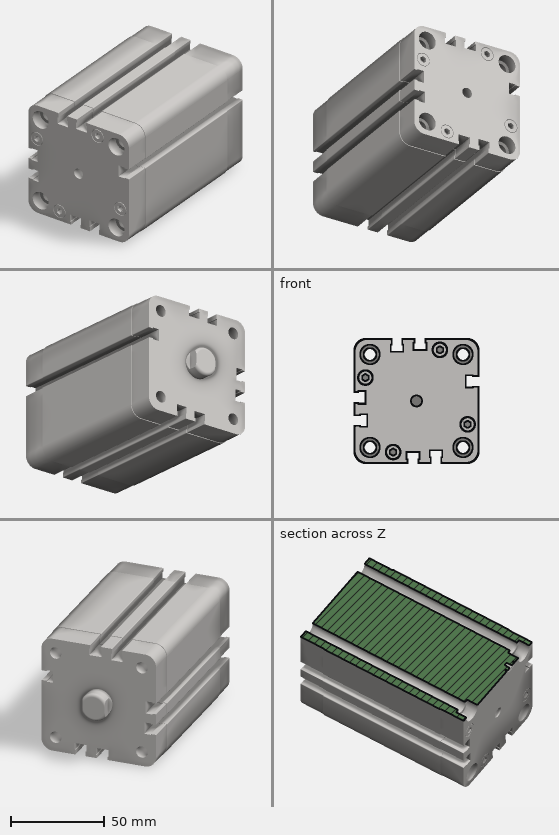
import cadquery as cq
import math

TOTAL_LENGTH = 113.0
BODY_WIDTH = 67.0
CAP_STEP = 0.3
CORNER_RADIUS = 6.7
CAP_LENGTH = 14.8
ROD_LENGTH = 7.6

FRONT_Y = -TOTAL_LENGTH / 2
REAR_Y = TOTAL_LENGTH / 2 - ROD_LENGTH
HALF_WIDTH = BODY_WIDTH / 2
CAP_WIDTH = BODY_WIDTH - 2 * CAP_STEP

NECK_WIDTH = 5.5
CHAMBER_WIDTH = 6.5
MOUTH_RADIUS = 0.5
DEEP_OFFSET = -10.5
DEEP_LIP = 3.3
DEEP_DEPTH = 7.0
DEEP_CAP_GROWTH = 0.1
SHALLOW_OFFSET = 1.9
SHALLOW_LIP = 2.3
SHALLOW_DEPTH = 6.0
SHALLOW_CAP_GROWTH = 0.3
QUARTER_TURNS = (0, 90, 180, 270)
RIGHT_SIDE = 90

MOUNT_OFFSET = 25.0
MOUNT_DIAMETER = 6.7
COUNTERBORE_DIAMETER = 10.5
COUNTERBORE_DEPTH = 6.7

SCREW_ALONG = 12.5
SCREW_OUT = 27.5
SCREW_DIAMETER = 7.5
SCREW_HOLE_DIAMETER = 8.0
SCREW_GAP_DEPTH = 1.1
SOCKET_ACROSS_FLATS = 3.4
SOCKET_DEPTH = 3.4
CENTER_HOLE_DIAMETER = 6.0
CENTER_HOLE_DEPTH = 9.0

ROD_DIAMETER = 16.0
ROD_TIP_RADIUS = 1.7
FLAT_ACROSS = 13.0
FLAT_LENGTH = 5.5


def section(y):
    """Sketch plane across the part at Y = y; local x is X and local y is Z."""
    return cq.Workplane("XZ", origin=(0, y, 0))


def prism(sketch, length):
    """Extrude a sketch drawn on a section plane toward +Y."""
    return sketch.extrude(-length)


def rounded_block(width, radius, y_start, y_end):
    block = prism(section(y_start).rect(width, width), y_end - y_start)
    return block.edges("|Y").fillet(radius)


def slot(center, lip, depth, face, growth, y_start, y_end):
    """T-slot in the top face at Z = face; growth widens both walls and lowers the floor."""
    neck = NECK_WIDTH / 2 + growth
    chamber = CHAMBER_WIDTH / 2 + growth
    mouth_radius = MOUTH_RADIUS - growth
    mouth = neck + mouth_radius
    shoulder = HALF_WIDTH - lip
    floor = HALF_WIDTH - depth - growth
    arc_end = mouth_radius * (1 - math.sqrt(0.5))
    outline = (
        section(y_start)
        .moveTo(center - mouth, face)
        .threePointArc((center - neck - arc_end, face - arc_end), (center - neck, face - mouth_radius))
        .lineTo(center - neck, shoulder)
        .lineTo(center - chamber, shoulder)
        .lineTo(center - chamber, floor)
        .lineTo(center + chamber, floor)
        .lineTo(center + chamber, shoulder)
        .lineTo(center + neck, shoulder)
        .lineTo(center + neck, face - mouth_radius)
        .threePointArc((center + neck + arc_end, face - arc_end), (center + mouth, face))
        .close()
    )
    return prism(outline, y_end - y_start)


def slotted_block(width, radius, deep_growth, shallow_growth, y_start, y_end):
    """Rounded square block with the slot pattern repeated around its sides."""
    block = rounded_block(width, radius, y_start, y_end)
    face = width / 2
    deep = slot(DEEP_OFFSET, DEEP_LIP, DEEP_DEPTH, face, deep_growth, y_start, y_end)
    shallow = slot(SHALLOW_OFFSET, SHALLOW_LIP, SHALLOW_DEPTH, face, shallow_growth, y_start, y_end)
    for angle in QUARTER_TURNS:
        block = block.cut(deep.rotate((0, 0, 0), (0, 1, 0), angle))
        if angle != RIGHT_SIDE:
            block = block.cut(shallow.rotate((0, 0, 0), (0, 1, 0), angle))
    return block


def cap(y_start):
    return slotted_block(
        CAP_WIDTH, CORNER_RADIUS - CAP_STEP, DEEP_CAP_GROWTH, SHALLOW_CAP_GROWTH,
        y_start, y_start + CAP_LENGTH,
    )


def mounting_holes():
    """Through holes at the four corners, counterbored at the front."""
    spacing = 2 * MOUNT_OFFSET
    corners = section(FRONT_Y).rect(spacing, spacing, forConstruction=True).vertices()
    through = prism(corners.circle(MOUNT_DIAMETER / 2), REAR_Y - FRONT_Y)
    counterbores = prism(corners.circle(COUNTERBORE_DIAMETER / 2), COUNTERBORE_DEPTH)
    return through.union(counterbores)


def screw_recesses():
    """Thin ring around each screw head and the hexagon socket inside it."""
    points = [
        (SCREW_ALONG, SCREW_OUT),
        (SCREW_OUT, -SCREW_ALONG),
        (-SCREW_ALONG, -SCREW_OUT),
        (-SCREW_OUT, SCREW_ALONG),
    ]
    heads = section(FRONT_Y).pushPoints(points)
    rings = prism(heads.circle(SCREW_HOLE_DIAMETER / 2).circle(SCREW_DIAMETER / 2), SCREW_GAP_DEPTH)
    socket = section(FRONT_Y).polygon(6, SOCKET_ACROSS_FLATS / math.cos(math.pi / 6))
    upright = prism(socket, SOCKET_DEPTH).rotate((0, 0, 0), (0, 1, 0), 30)
    recesses = rings
    for x, z in points:
        recesses = recesses.union(upright.translate((x, 0, z)))
    return recesses


def rod():
    """Round rod end with a rounded tip and two flats that run out at 45 degrees."""
    radius = ROD_DIAMETER / 2
    tip_y = TOTAL_LENGTH / 2
    flat_x = FLAT_ACROSS / 2
    flat_end_y = tip_y - FLAT_LENGTH
    run_out = radius - flat_x
    shaft = prism(section(REAR_Y).circle(radius), ROD_LENGTH).faces(">Y").edges().fillet(ROD_TIP_RADIUS)
    side = (
        cq.Workplane("XY")
        .moveTo(flat_x, tip_y)
        .lineTo(flat_x, flat_end_y)
        .lineTo(radius, flat_end_y - run_out)
        .lineTo(radius, tip_y)
        .close()
        .extrude(radius, both=True)
    )
    return shaft.cut(side).cut(side.mirror("YZ"))


tube = slotted_block(BODY_WIDTH, CORNER_RADIUS, 0, 0, FRONT_Y + CAP_LENGTH, REAR_Y - CAP_LENGTH)
center_hole = prism(section(FRONT_Y).circle(CENTER_HOLE_DIAMETER / 2), CENTER_HOLE_DEPTH)

result = (
    tube
    .union(cap(FRONT_Y))
    .union(cap(REAR_Y - CAP_LENGTH))
    .union(rod())
    .cut(mounting_holes())
    .cut(screw_recesses())
    .cut(center_hole)
)